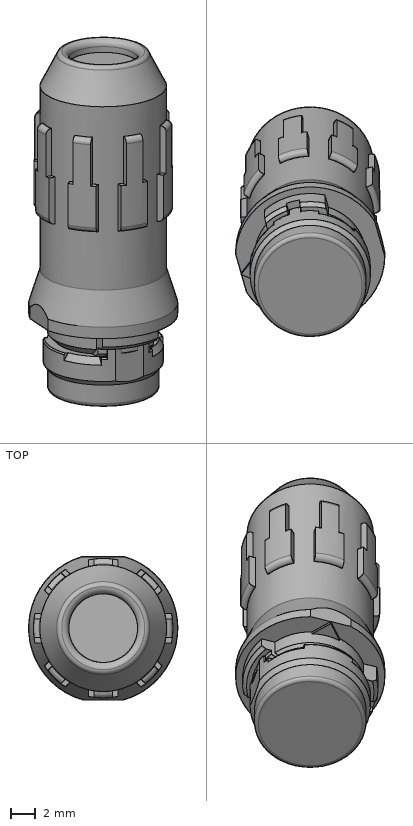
import cadquery as cq
import math

total_height = 28.8
skirt_diameter = 12.0

nose_radius = 4.5
nose_top = 1.9
nose_fillet = 0.32
collar_radius = 4.85
collar_cone_top = 2.33
collar_top = 4.32
collar_top_chamfer = 0.12
collar_flat_x = 4.67

drum_radius = 4.5
drum_chamfer = 0.6
lug_radius = 5.45
lug_half_width = 2.5
lug_chamfer = 0.32
lug_step_height = 5.15
lug_step_radius = 4.72
lug_notch_width = 1.1
narrow_key_width = 0.92
wide_key_width = 3.75
key_corner_fillet = 0.17

recess_floor = 3.72
recess_rim_radius = 4.5
left_recess_clear_x = 2.25
left_recess_clear_y = 1.87
right_recess_clear_x = 1.85
right_recess_clear_y = 2.3

skirt_radius = skirt_diameter / 2
skirt_bottom = 6.4
skirt_cone_bottom = 7.37
skirt_cone_top = 10.22
skirt_front_flat = 5.8
skirt_back_flat = 5.75
pointer_drop = 0.25
pointer_half_base = 1.15

sleeve_radius = 5.1
sleeve_top = 25.85
rim_outer_radius = 3.75
rim_crest_radius = 3.35
rim_outer_drop = 0.3
bore_radius = 2.76
bore_depth = 1.07
bore_lip_rounding = rim_crest_radius - bore_radius

rib_count = 8
rib_radius = 5.62
rib_bottom = 15.24
rib_step = 19.25
rib_top = 23.25
rib_wide_width = 2.4
rib_narrow_width = 1.5
rib_rounding = 0.45


def disc(radius, bottom, top):
    """Cylinder on the Z axis between two heights."""
    return cq.Workplane("XY").workplane(offset=bottom).circle(radius).extrude(top - bottom)


def block(x_range, y_range, z_range):
    """Box given by its limits along each axis."""
    sizes = [high - low for low, high in (x_range, y_range, z_range)]
    corner = (x_range[0], y_range[0], z_range[0])
    return cq.Workplane("XY").box(*sizes, centered=False).translate(corner)


def make_core():
    """Turned body: nose, collar, drum, sleeve and the rounded rim with its blind bore."""
    rim_start = total_height - rim_outer_drop
    bore_edge = total_height - bore_lip_rounding
    bore_floor = total_height - bore_depth
    diagonal = math.sqrt(0.5)
    lip_middle = (
        rim_crest_radius - bore_lip_rounding * diagonal,
        bore_edge + bore_lip_rounding * diagonal,
    )
    rim_width = rim_outer_radius - rim_crest_radius
    rim_rounding = (rim_width**2 + rim_outer_drop**2) / (2 * rim_outer_drop)
    neck_radius = drum_radius - drum_chamfer
    profile = (
        cq.Workplane("XZ")
        .lineTo(nose_radius - nose_fillet, 0)
        .radiusArc((nose_radius, nose_fillet), -nose_fillet)
        .lineTo(nose_radius, nose_top)
        .lineTo(collar_radius, collar_cone_top)
        .lineTo(collar_radius, collar_top - collar_top_chamfer)
        .lineTo(collar_radius - collar_top_chamfer, collar_top)
        .lineTo(neck_radius, collar_top)
        .lineTo(drum_radius, collar_top + drum_chamfer)
        .lineTo(drum_radius, skirt_bottom)
        .lineTo(sleeve_radius, skirt_bottom)
        .lineTo(sleeve_radius, sleeve_top)
        .lineTo(rim_outer_radius, rim_start)
        .radiusArc((rim_crest_radius, total_height), -rim_rounding)
        .threePointArc(lip_middle, (bore_radius, bore_edge))
        .lineTo(bore_radius, bore_floor)
        .lineTo(0, bore_floor)
        .close()
    )
    return profile.revolve(360, (0, 0, 0), (0, 1, 0))


def make_skirt():
    """Flared skirt with two flats and a small triangular pointer on the +Y underside."""
    flare = (
        cq.Workplane("XZ")
        .moveTo(0, skirt_bottom)
        .lineTo(skirt_radius, skirt_bottom)
        .lineTo(skirt_radius, skirt_cone_bottom)
        .lineTo(sleeve_radius, skirt_cone_top)
        .lineTo(0, skirt_cone_top)
        .close()
        .revolve(360, (0, 0, 0), (0, 1, 0))
    )
    between_flats = block(
        (-skirt_radius, skirt_radius),
        (-skirt_front_flat, skirt_back_flat),
        (skirt_bottom, skirt_cone_top),
    )
    pointer_base_y = math.sqrt(drum_radius**2 - pointer_half_base**2)
    pointer = (
        cq.Workplane("XY")
        .workplane(offset=skirt_bottom - pointer_drop)
        .polyline([
            (0, 0),
            (-pointer_half_base, pointer_base_y),
            (0, skirt_back_flat),
            (pointer_half_base, pointer_base_y),
        ])
        .close()
        .extrude(pointer_drop)
    )
    return flare.intersect(between_flats).union(pointer)


def make_lug(side, radius, bottom):
    """Bayonet lug on the +X (side = 1) or -X (side = -1) side, chamfered underneath."""
    ring = disc(radius, bottom, skirt_bottom).faces("<Z").chamfer(lug_chamfer)
    x_range = sorted((0, side * radius))
    return ring.intersect(
        block(x_range, (-lug_half_width, lug_half_width), (bottom, skirt_bottom))
    )


def make_left_lug():
    """Full-height -X lug, notched in the middle to clear the narrow key."""
    half_notch = lug_notch_width / 2
    notch = block(
        (-lug_radius, -drum_radius), (-half_notch, half_notch), (collar_top, lug_step_height)
    )
    return make_lug(-1, lug_radius, collar_top).cut(notch)


def make_right_lug():
    """+X lug stepped to a smaller radius in its lower part, behind the wide key."""
    return make_lug(1, lug_radius, lug_step_height).union(make_lug(1, lug_step_radius, collar_top))


def make_key(side, width):
    """Curved key standing on the collar and locking into a lug."""
    wall = disc(collar_radius, recess_floor, lug_step_height)
    wall = wall.cut(disc(drum_radius, collar_top, lug_step_height))
    x_range = sorted((0, side * collar_radius))
    key = block(x_range, (-width / 2, width / 2), (recess_floor, lug_step_height))
    return key.edges("|X and >Z").fillet(key_corner_fillet).intersect(wall)


def make_collar_flat():
    """Material removed to leave the flat on the +X side of the collar and its key."""
    return block(
        (collar_flat_x, collar_radius), (-collar_radius, collar_radius), (nose_top, lug_step_height)
    )


def make_collar_recess(side_x, side_y, clear_x, clear_y):
    """Sloped cut in the collar edge, kept clear of both axes by vertical end walls."""
    slope = (
        cq.Workplane("XZ")
        .moveTo(recess_rim_radius, collar_top)
        .lineTo(collar_radius, recess_floor)
        .lineTo(collar_radius, collar_top)
        .close()
        .revolve(360, (0, 0, 0), (0, 1, 0))
    )
    corner = block(
        sorted((side_x * clear_x, side_x * collar_radius)),
        sorted((side_y * clear_y, side_y * collar_radius)),
        (recess_floor, collar_top),
    )
    return slope.intersect(corner)


def make_rib():
    """Stepped grip rib on the +X side, rounded at both ends."""
    envelope = disc(rib_radius, rib_bottom, rib_top).edges().fillet(rib_rounding)
    wide = block(
        (0, rib_radius), (-rib_wide_width / 2, rib_wide_width / 2), (rib_bottom, rib_step)
    )
    narrow = block(
        (0, rib_radius), (-rib_narrow_width / 2, rib_narrow_width / 2), (rib_step, rib_top)
    )
    return envelope.intersect(wide.union(narrow))


result = make_core().union(make_skirt())
result = result.union(make_key(-1, narrow_key_width))
result = result.union(make_key(1, wide_key_width))
result = result.cut(make_collar_flat())
result = result.union(make_left_lug()).union(make_right_lug())

for side_y in (-1, 1):
    result = result.cut(make_collar_recess(-1, side_y, left_recess_clear_x, left_recess_clear_y))
    result = result.cut(make_collar_recess(1, side_y, right_recess_clear_x, right_recess_clear_y))

rib = make_rib()
for index in range(rib_count):
    result = result.union(rib.rotate((0, 0, 0), (0, 0, 1), index * 360 / rib_count))